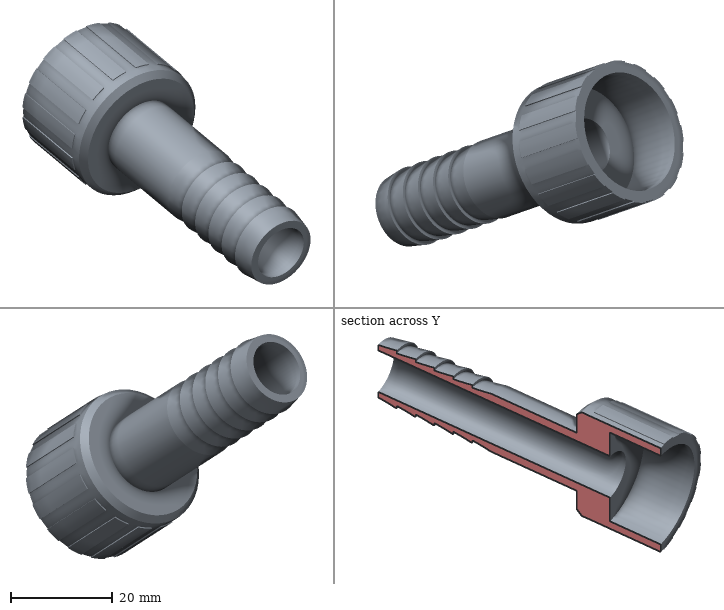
import cadquery as cq

TOTAL_LENGTH = 67.0
CUP_LENGTH = 20.0
BARB_START = 40.2
BARB_COUNT = 6

CUP_DIAMETER = 28.46
CUP_BORE_DIAMETER = 24.12
CUP_BORE_DEPTH = 12.0
CHAMFER = 1.25

RIB_COUNT = 16
RIB_ANGLE = 13.0
RIB_LENGTH = 16.6
RIB_OUTER_DIAMETER = 28.94

TAIL_DIAMETER = 16.0
BARB_ROOT_DIAMETER = 14.5
THROUGH_BORE_DIAMETER = 11.2

BARB_PITCH = (TOTAL_LENGTH - BARB_START) / BARB_COUNT


def make_revolved_body():
    """Solid of revolution: chamfered cup, plain tail and tapered barbs."""
    cup_radius = CUP_DIAMETER / 2
    tail_radius = TAIL_DIAMETER / 2
    barb_root_radius = BARB_ROOT_DIAMETER / 2

    profile = (
        cq.Workplane("XY")
        .lineTo(0, cup_radius)
        .lineTo(CUP_LENGTH - CHAMFER, cup_radius)
        .lineTo(CUP_LENGTH, cup_radius - CHAMFER)
        .lineTo(CUP_LENGTH, tail_radius)
    )
    for i in range(BARB_COUNT):
        barb_x = BARB_START + i * BARB_PITCH
        profile = profile.lineTo(barb_x, tail_radius)
        profile = profile.lineTo(barb_x + BARB_PITCH, barb_root_radius)
    profile = profile.lineTo(TOTAL_LENGTH, 0).close()
    return profile.revolve(360, (0, 0, 0), (1, 0, 0))


def add_ribs(body):
    """Place the ribs so that a gap is centred on each of the Y and Z axes."""
    pitch_angle = 360 / RIB_COUNT
    first_angle = (pitch_angle - RIB_ANGLE) / 2
    inner_radius = CUP_BORE_DIAMETER / 2
    rib_height = RIB_OUTER_DIAMETER / 2 - inner_radius
    rib = (
        cq.Workplane("XY")
        .moveTo(0, inner_radius)
        .rect(RIB_LENGTH, rib_height, centered=False)
        .revolve(RIB_ANGLE, (0, 0, 0), (1, 0, 0))
    )
    for i in range(RIB_COUNT):
        angle = first_angle + i * pitch_angle
        body = body.union(rib.rotate((0, 0, 0), (1, 0, 0), angle))
    return body


def cut_bores(body):
    """Cup bore from the mouth and the bore through the whole tail."""
    mouth = cq.Workplane("YZ")
    cup_bore = mouth.circle(CUP_BORE_DIAMETER / 2).extrude(CUP_BORE_DEPTH)
    through_bore = mouth.circle(THROUGH_BORE_DIAMETER / 2).extrude(TOTAL_LENGTH)
    return body.cut(cup_bore).cut(through_bore)


result = cut_bores(add_ribs(make_revolved_body()))